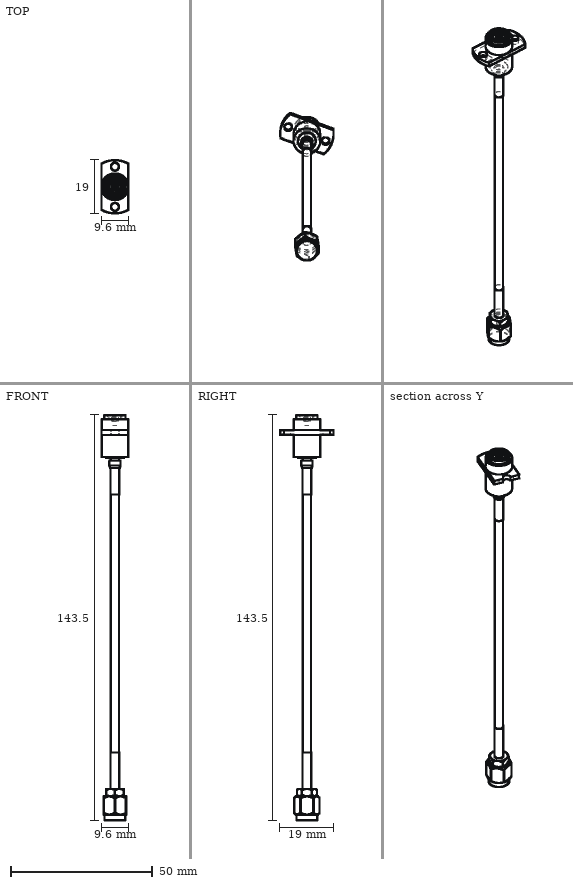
import cadquery as cq
import math

TOTAL_LENGTH = 143.5

NUT_RING_DIAMETER = 7.5
NUT_RING_HEIGHT = 2.0
NUT_ACROSS_FLATS = 8.0
NUT_TOP = 8.6
NUT_BARREL_DIAMETER = 9.0
NUT_FACE_DIAMETER = 7.7
NUT_RING_CHAMFER = 0.1

PLUG_ACROSS_FLATS = 6.3
PLUG_TOP = 11.2
PLUG_BARREL_DIAMETER = 7.2
PLUG_FACE_DIAMETER = 6.3

CABLE_DIAMETER = 3.0
SLEEVE_DIAMETER = 3.3
LOWER_SLEEVE_TOP = 24.1
UPPER_SLEEVE_BOTTOM = 115.4

JACK_DIAMETER = 9.5
JACK_EDGE_CHAMFER = 0.1
JACK_RIM_DIAMETER = 7.6
JACK_RIM_CHAMFER = 0.1
JACK_RIM_HEIGHT = 1.5
JACK_BOTTOM = TOTAL_LENGTH - 14.9
SHOULDER_DIAMETER = 6.3
SHOULDER_HEIGHT = 0.3
NECK_DIAMETER = 3.0
COLLAR_DIAMETER = 4.0
COLLAR_TOP = TOTAL_LENGTH - 16.1
COLLAR_BOTTOM = TOTAL_LENGTH - 18.7
COLLAR_TIP_DIAMETER = 3.5
COLLAR_TIP_HEIGHT = 0.7
COLLAR_FILLET = 0.3

SOCKET_MOUTH_DIAMETER = 6.0
SOCKET_THROAT_DIAMETER = 5.2
SOCKET_THROAT_DEPTH = 0.6
SOCKET_FLOOR_DIAMETER = 4.3
SOCKET_DEPTH = 0.9
CONTACT_RECESS_DIAMETER = 2.6
CONTACT_RECESS_DEPTH = 1.5
CONTACT_DIAMETER = 2.0
CONTACT_DROP = 0.6
CONTACT_BORE_DIAMETER = 1.25
CONTACT_BORE_DEPTH = 2.9
CONTACT_PIN_DIAMETER = 0.76
CONTACT_PIN_DROP = 0.3

FLANGE_WIDTH = 9.6
FLANGE_LENGTH = 19.0
FLANGE_TOP = TOTAL_LENGTH - 5.3
FLANGE_THICKNESS = 1.7
FLANGE_HOLE_DIAMETER = 2.7
FLANGE_HOLE_SPACING = 14.2


def cylinder(diameter, bottom, top):
    return cq.Workplane("XY").workplane(offset=bottom).circle(diameter / 2).extrude(top - bottom)


def tube(outer_diameter, inner_diameter, bottom, top):
    return cylinder(outer_diameter, bottom, top).cut(cylinder(inner_diameter, bottom, top))


def hexagon(across_flats, barrel_diameter, face_diameter, bottom, top):
    """Hexagonal prism with corners on the Y axis, turned to a barrel with 45-degree chamfers."""
    barrel_chamfer = (barrel_diameter - face_diameter) / 2
    prism = (
        cq.Workplane("XY")
        .workplane(offset=bottom)
        .polygon(6, across_flats / math.cos(math.pi / 6))
        .extrude(top - bottom)
        .rotate((0, 0, 0), (0, 0, 1), 90)
    )
    barrel = cylinder(barrel_diameter, bottom, top).faces("<Z or >Z").chamfer(barrel_chamfer)
    return prism.intersect(barrel)


def make_nut():
    ring = cylinder(NUT_RING_DIAMETER, 0, NUT_RING_HEIGHT).faces("<Z").chamfer(NUT_RING_CHAMFER)
    wrench_flats = hexagon(
        NUT_ACROSS_FLATS, NUT_BARREL_DIAMETER, NUT_FACE_DIAMETER, NUT_RING_HEIGHT, NUT_TOP
    )
    return ring.union(wrench_flats)


def make_plug_body():
    return hexagon(
        PLUG_ACROSS_FLATS, PLUG_BARREL_DIAMETER, PLUG_FACE_DIAMETER, NUT_TOP, PLUG_TOP
    )


def make_cable():
    return cylinder(CABLE_DIAMETER, PLUG_TOP, COLLAR_BOTTOM)


def make_sleeve(bottom, top):
    return tube(SLEEVE_DIAMETER, CABLE_DIAMETER, bottom, top)


def make_flange():
    """Plate whose ends are arcs cut off flush by the straight long sides."""
    plate = (
        cq.Workplane("XY")
        .workplane(offset=FLANGE_TOP - FLANGE_THICKNESS)
        .rect(FLANGE_WIDTH, FLANGE_LENGTH)
        .extrude(FLANGE_THICKNESS)
    )
    rounded = plate.intersect(cylinder(FLANGE_LENGTH, FLANGE_TOP - FLANGE_THICKNESS, FLANGE_TOP))
    return (
        rounded.faces(">Z")
        .workplane(origin=(0, 0, FLANGE_TOP))
        .rarray(1.5, FLANGE_HOLE_SPACING, 1, 2)
        .hole(FLANGE_HOLE_DIAMETER)
    )


def make_socket():
    """Void of the mating socket: a two-cone funnel and a recess that holds the bored contact and its pin."""
    throat = TOTAL_LENGTH - SOCKET_THROAT_DEPTH
    floor = TOTAL_LENGTH - SOCKET_DEPTH
    funnel = (
        cq.Workplane("XZ")
        .moveTo(0, floor)
        .lineTo(SOCKET_FLOOR_DIAMETER / 2, floor)
        .lineTo(SOCKET_THROAT_DIAMETER / 2, throat)
        .lineTo(SOCKET_MOUTH_DIAMETER / 2, TOTAL_LENGTH)
        .lineTo(0, TOTAL_LENGTH)
        .close()
        .revolve(360, (0, 0, 0), (0, 1, 0))
    )
    recess = cylinder(CONTACT_RECESS_DIAMETER, floor - CONTACT_RECESS_DEPTH, floor)
    contact = cylinder(CONTACT_DIAMETER, floor - CONTACT_RECESS_DEPTH, floor - CONTACT_DROP)
    bore = cylinder(CONTACT_BORE_DIAMETER, floor - CONTACT_BORE_DEPTH, floor)
    pin = cylinder(CONTACT_PIN_DIAMETER, floor - CONTACT_BORE_DEPTH, floor - CONTACT_PIN_DROP)
    return funnel.union(recess).cut(contact).union(bore).cut(pin)


def make_collar():
    """Cable collar with a rounded upper edge and a tapered lower end."""
    taper = (COLLAR_DIAMETER - COLLAR_TIP_DIAMETER) / 2
    blank = cylinder(COLLAR_DIAMETER, COLLAR_BOTTOM, COLLAR_TOP).faces(">Z").edges().fillet(COLLAR_FILLET)
    return blank.faces("<Z").chamfer(COLLAR_TIP_HEIGHT, taper)


def make_jack():
    shell_top = TOTAL_LENGTH - JACK_RIM_HEIGHT
    shell = cylinder(JACK_DIAMETER, JACK_BOTTOM, shell_top).faces(">Z").chamfer(JACK_EDGE_CHAMFER)
    rim = cylinder(JACK_RIM_DIAMETER, shell_top, TOTAL_LENGTH).faces(">Z").chamfer(JACK_RIM_CHAMFER)
    shoulder = cylinder(SHOULDER_DIAMETER, JACK_BOTTOM - SHOULDER_HEIGHT, JACK_BOTTOM)
    neck = cylinder(NECK_DIAMETER, COLLAR_TOP, JACK_BOTTOM)
    body = shell.union(rim).union(make_flange()).union(shoulder).union(neck).union(make_collar())
    return body.cut(make_socket())


nut = make_nut()
plug_body = make_plug_body()
cable = make_cable()
sleeve_spans = [(PLUG_TOP, LOWER_SLEEVE_TOP), (UPPER_SLEEVE_BOTTOM, COLLAR_BOTTOM)]
sleeves = [make_sleeve(bottom, top) for bottom, top in sleeve_spans]
jack = make_jack()

result = cq.Compound.makeCompound(
    [body.val() for body in (nut, plug_body, cable, *sleeves, jack)]
)